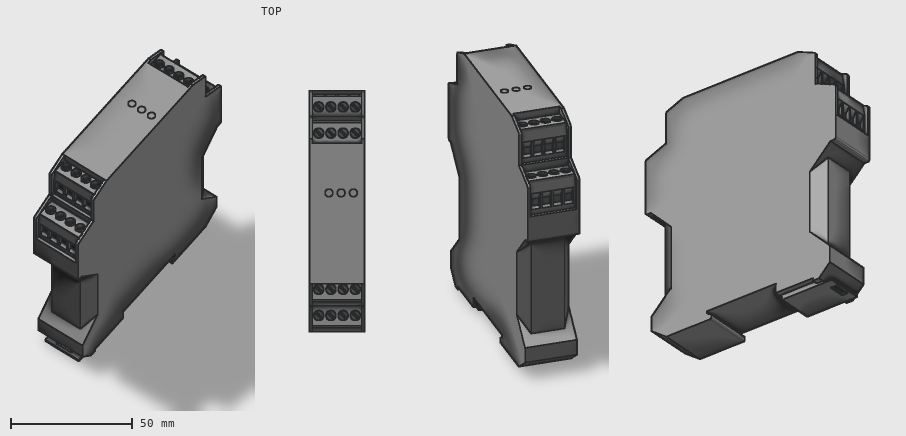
import cadquery as cq
import math


width = 22.6
half_width = width / 2
height = 113.6
length = 99.0
half_length = length / 2
wall = 1.2
corner_radius = 1.1

shoulder_angle = 22.5
slope = math.tan(math.radians(shoulder_angle))
half_top = 29.8
half_upper = 38.7
upper_corner_z = height - (half_upper - half_top) * slope
step_z = 95.1
lower_corner_z = step_z - (half_length - half_upper) * slope
shoulder_bottom_z = 64.6

half_ledge = 46.7
half_waist = 36.0
waist_top_z = shoulder_bottom_z - (half_ledge - half_waist)
waist_bottom_z = 25.1
half_base = 46.3
base_top_z = waist_bottom_z - (half_base - half_waist)
base_z = 2.4

rear_corner_z = 8.0
rear_flat_y = 38.6
front_corner_z = 6.8
heel_z = 1.1
heel_outer_y = half_base - (front_corner_z - heel_z)
heel_inner_y = 37.5

rail_top_z = 6.8
rail_front_y = 18.2
rail_rear_y = 17.5
nose_y = 15.3
nose_top_z = 4.4
rail_undercut_z = 5.9
nose_radius = 0.6

half_grip = 42.4
half_grip_width = 7.3

terminals = 4
lower_floor_z = 76.6
step_drop = step_z - lower_floor_z
block_top_z = 110.2
block_setback = 1.6
lip_setback = 0.8
lip_height = 0.8
face_top_z = 105.0
rear_recess_y = 28.0

window_pitch = 4.8
window_width = 3.9
window_depth = 1.6
window_top_z = 104.6
window_back_top_z = 101.3
window_back_bottom_z = 98.2
window_bottom_z = 97.4

screw_pitch = 5.0
screw_radius = 2.0
screw_depth = 3.4
screw_setback = 6.7
driver_slot_width = 0.8
driver_slot_depth = 0.6
driver_slot_angle = -45

light_count = 3
light_pitch = 5.0
light_center_x = 1.7
light_y = 7.5
light_radius = 1.6
light_depth = 0.06

clip_width = 17.2
clip_plate = 0.9
clip_inner_y = 19.2
clip_outer_y = 45.2
hook_tip_y = 15.2
hook_back_y = 17.4
hook_tip_z = 5.3
hook_back_z = 5.7
hook_base_z = 1.5
clip_slot_length = 7.6
clip_slot_width = 3.0
clip_slot_y = 42.5


def prism(points, thickness, center_x=0):
    """Extrude a Y-Z outline along X, centred on center_x."""
    profile = cq.Workplane("YZ", origin=(center_x, 0, 0)).polyline(points).close()
    return profile.extrude(thickness / 2, both=True)


def row(count, pitch):
    """Evenly spaced offsets centred on zero."""
    return [(i - (count - 1) / 2) * pitch for i in range(count)]


def housing():
    """Solid body with stepped shoulders, a narrow waist and the rail slot."""
    side = [
        (half_top, height),
        (half_upper, upper_corner_z),
        (half_upper, step_z),
        (half_length, lower_corner_z),
        (half_length, shoulder_bottom_z),
        (half_ledge, shoulder_bottom_z),
        (half_waist, waist_top_z),
        (half_waist, waist_bottom_z),
        (half_base, base_top_z),
    ]
    base = [
        (half_base, rear_corner_z),
        (rear_flat_y, base_z),
        (nose_y, base_z),
        (nose_y, nose_top_z),
        (rail_rear_y, rail_undercut_z),
        (rail_rear_y, rail_top_z),
        (-rail_front_y, rail_top_z),
        (-rail_front_y, base_z),
        (-heel_inner_y, base_z),
        (-heel_inner_y, heel_z),
        (-heel_outer_y, heel_z),
        (-half_base, front_corner_z),
    ]
    front = [(-y, z) for y, z in reversed(side)]
    body = prism(side + base + front, width)
    rounded = [
        (half_upper, upper_corner_z),
        (half_length, lower_corner_z),
        (half_length, shoulder_bottom_z),
    ]
    for y, z in rounded:
        for end in (-1, 1):
            corner = cq.selectors.NearestToPointSelector((0, end * y, z))
            body = body.edges("|X").edges(corner).fillet(corner_radius)
    nose = cq.selectors.NearestToPointSelector((0, nose_y, base_z))
    return body.edges("|X").edges(nose).fillet(nose_radius)


def grip(end):
    """Tapered rib on the waist, running between the sloped faces above and below it."""
    rise = half_grip - half_waist
    blank = prism(
        [
            (0, waist_top_z),
            (end * half_waist, waist_top_z),
            (end * half_grip, waist_top_z + rise),
            (end * half_grip, waist_bottom_z - rise),
            (end * half_waist, waist_bottom_z),
            (0, waist_bottom_z),
        ],
        width,
    )
    taper = (
        cq.Workplane("XY")
        .polyline(
            [
                (-half_width, 0),
                (-half_width, end * half_waist),
                (-half_grip_width, end * half_grip),
                (half_grip_width, end * half_grip),
                (half_width, end * half_waist),
                (half_width, 0),
            ]
        )
        .close()
        .extrude(height)
    )
    return blank.intersect(taper)


def recess(end, back_y, outer_y, drop):
    """Open pocket between the side walls that takes one terminal block."""
    top_z = height - drop
    floor_z = step_z - drop
    outline = [
        (end * back_y, floor_z),
        (end * outer_y, floor_z),
        (end * outer_y, top_z),
        (end * back_y, top_z),
    ]
    return prism(outline, width - 2 * wall)


def terminal_block(end, back_y, outer_y, drop):
    """Terminal block with wire windows and sunken slotted screws."""
    face_y = outer_y - block_setback
    lip_y = face_y - lip_setback
    top_z = block_top_z - drop
    outline = [
        (end * back_y, step_z - drop),
        (end * face_y, step_z - drop),
        (end * face_y, face_top_z - drop),
        (end * lip_y, top_z - lip_height),
        (end * lip_y, top_z),
        (end * back_y, top_z),
    ]
    block = prism(outline, width - 2 * wall)

    window_back_y = face_y - window_depth
    window = [
        (end * face_y, window_top_z - drop),
        (end * window_back_y, window_back_top_z - drop),
        (end * window_back_y, window_back_bottom_z - drop),
        (end * face_y, window_bottom_z - drop),
    ]
    for x in row(terminals, window_pitch):
        block = block.cut(prism(window, window_width, x))

    screw_y = end * (outer_y - screw_setback)
    head_z = top_z - screw_depth
    for x in row(terminals, screw_pitch):
        well = cq.Workplane("XY", origin=(x, screw_y, head_z)).circle(screw_radius).extrude(screw_depth)
        driver_slot = (
            cq.Workplane("XY", origin=(x, screw_y, head_z))
            .transformed(rotate=(0, 0, driver_slot_angle))
            .slot2D(2 * screw_radius, driver_slot_width)
            .extrude(-driver_slot_depth)
        )
        block = block.cut(well).cut(driver_slot)
    return block


def indicator_lights():
    """Row of shallow round windows in the top face."""
    centers = [(light_center_x + x, light_y) for x in row(light_count, light_pitch)]
    top = cq.Workplane("XY", origin=(0, 0, height)).pushPoints(centers)
    return top.circle(light_radius).extrude(-light_depth)


def rail_clip():
    """Hooked foot clip with a slotted pull tab."""
    outline = [
        (-hook_back_y, rail_top_z),
        (-hook_back_y, hook_back_z),
        (-hook_tip_y, hook_tip_z),
        (-rail_front_y, hook_base_z),
        (-clip_inner_y, hook_base_z),
        (-clip_inner_y, 0),
        (-clip_outer_y, 0),
        (-clip_outer_y, clip_plate),
        (-heel_outer_y, clip_plate),
        (-heel_outer_y, heel_z),
        (-heel_inner_y, heel_z),
        (-heel_inner_y, rail_top_z),
    ]
    pull_slot = (
        cq.Workplane("XY")
        .center(0, -clip_slot_y)
        .rect(clip_slot_length, clip_slot_width)
        .extrude(clip_plate)
    )
    return prism(outline, clip_width).cut(pull_slot)


result = housing().union(grip(1)).union(grip(-1))
for end, upper_back_y in ((1, rear_recess_y), (-1, half_top)):
    for back_y, outer_y, drop in ((upper_back_y, half_upper, 0), (half_upper, half_length, step_drop)):
        result = result.cut(recess(end, back_y, outer_y, drop))
        result = result.union(terminal_block(end, back_y, outer_y, drop))
result = result.cut(indicator_lights()).union(rail_clip())